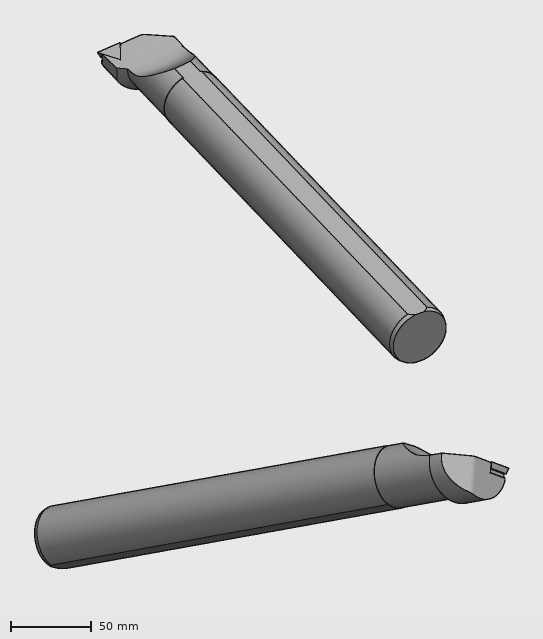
import cadquery as cq
import math

total_length = 350.0
shank_radius = 20.0
flat_height = 18.75
end_chamfer_length = 3.0
end_chamfer_depth = 1.0

neck_end_x = 70.0
neck_radius = 19.74

head_radius = 23.17
head_offset_y = shank_radius - head_radius
head_front_x = 1.3
head_cone_end_x = 24.8
rake_tilt = 5.2
tip_y = -27.0
corner_length_x = 13.6
corner_start_y = 4.5
corner_end_y = 20.0
corner_radius = 5.0
side_flat_y = -25.5
side_flat_taper = 2.0

scoop_axis_x = -20.0
scoop_center_radius = 18.0
scoop_curve = [
    (scoop_center_radius, 0),
    (45.0, 0),
    (51.0, 0),
    (62.0, -1.5),
    (62.0, 3.7),
    (88.4, 24.0),
]

insert_edge = 16.5
insert_thickness = 3.97
insert_clearance = 11.0

relief_depth = 6.6
relief_back_x = 2.3
relief_end_y = -11.5

reach = 3 * shank_radius

tilt = math.radians(rake_tilt)
rake = cq.Plane(
    origin=(0, tip_y, 0),
    xDir=(1, 0, 0),
    normal=(0, -math.sin(tilt), math.cos(tilt)),
)


def on_rake(y):
    """Distance along the rake face from the tip to the given Y."""
    return (y - tip_y) / math.cos(tilt)


def rod(radius, start_x, end_x, center_y=0.0):
    return (
        cq.Workplane("YZ", origin=(start_x, center_y, 0))
        .circle(radius)
        .extrude(end_x - start_x)
    )


def make_shank():
    chamfer_start_x = total_length - end_chamfer_length
    profile = [
        (neck_end_x, 0),
        (neck_end_x, shank_radius),
        (chamfer_start_x, shank_radius),
        (total_length, shank_radius - end_chamfer_depth),
        (total_length, 0),
    ]
    round_bar = cq.Workplane("XY").polyline(profile).close().revolve(360, (0, 0, 0), (1, 0, 0))
    between_flats = cq.Workplane("XY").box(2 * total_length, reach, 2 * flat_height)
    return round_bar.intersect(between_flats)


def make_neck():
    below_top_flat = cq.Workplane("XY").box(2 * total_length, reach, reach).translate(
        (0, 0, flat_height - reach / 2)
    )
    return rod(neck_radius, 0, neck_end_x).intersect(below_top_flat)


def make_head():
    cylinder = rod(head_radius, 0, head_cone_end_x, head_offset_y)
    cone_profile = [
        (0, 0),
        (0, neck_radius + head_cone_end_x),
        (head_cone_end_x, neck_radius),
        (head_cone_end_x, 0),
    ]
    cone = cq.Workplane("XY").polyline(cone_profile).close().revolve(360, (0, 0, 0), (1, 0, 0))
    return cylinder.intersect(cone)


def front_outline():
    """Keeps the part behind the front face and the rounded corner cut."""
    return (
        cq.Workplane(rake)
        .moveTo(head_front_x, -reach)
        .lineTo(head_front_x, on_rake(corner_start_y))
        .lineTo(head_front_x + corner_length_x, on_rake(corner_end_y))
        .lineTo(head_front_x + corner_length_x, reach * 2)
        .lineTo(total_length + reach, reach * 2)
        .lineTo(total_length + reach, -reach)
        .close()
        .extrude(reach, both=True)
        .edges(cq.selectors.NearestToPointSelector((head_front_x, corner_start_y, 0)))
        .fillet(corner_radius)
    )


def side_flat():
    """Material outside the flat beside the insert."""
    inward = total_length * math.tan(math.radians(side_flat_taper))
    return (
        cq.Workplane(rake)
        .polyline([
            (0, -reach),
            (0, on_rake(side_flat_y)),
            (total_length, on_rake(side_flat_y) + inward),
            (total_length, -reach),
        ])
        .close()
        .extrude(reach, both=True)
    )


def front_relief():
    return (
        cq.Workplane(rake)
        .moveTo(0, on_rake(relief_end_y))
        .lineTo(relief_back_x, on_rake(relief_end_y))
        .lineTo(relief_back_x, -reach)
        .lineTo(0, -reach)
        .close()
        .extrude(-relief_depth)
    )


def scoop():
    """Bowl with a flat floor on the rake face and a wall that rises toward the shank."""
    rim_height = scoop_curve[-1][1]
    section = cq.Plane(
        origin=(scoop_axis_x, 0, -tip_y * math.tan(tilt)),
        xDir=(1, 0, 0),
        normal=(0, -math.cos(tilt), -math.sin(tilt)),
    )
    return (
        cq.Workplane(section)
        .lineTo(scoop_center_radius, 0)
        .bezier(scoop_curve)
        .lineTo(0, rim_height)
        .close()
        .revolve(360, (0, 0, 0), (0, 1, 0))
    )


def make_insert():
    """Equilateral triangle with inward-leaning sides; its tip is the origin of the rake face."""
    height = insert_edge * math.sqrt(3) / 2
    return (
        cq.Workplane(rake)
        .polyline([(0, 0), (height, insert_edge / 2), (0, insert_edge)])
        .close()
        .extrude(-insert_thickness, taper=insert_clearance)
    )


def make_holder(insert):
    head = make_head().cut(side_flat())
    blank = make_shank().union(make_neck().union(head).cut(scoop()))
    return blank.intersect(front_outline()).cut(front_relief()).cut(insert)


insert = make_insert()
holder = make_holder(insert)
result = cq.Compound.makeCompound([holder.val(), insert.val()])